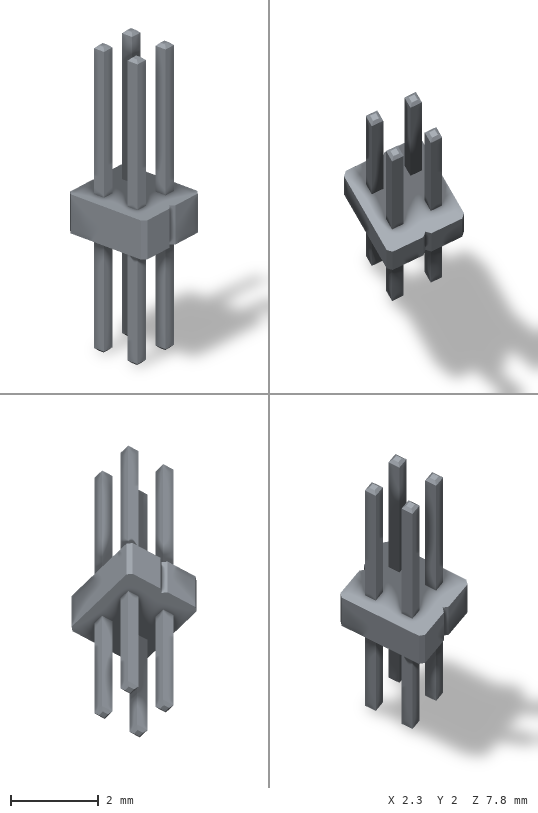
import cadquery as cq

pitch = 1.0
body_x = 2.3
body_y = 2 * pitch
body_height = pitch
corner_cut = 0.1
pin_width = 0.3
pin_length = 7.8
tail_length = 3.0
tip_cut = pin_width / 4


def make_body():
    """Two equal rows of housing, each with its vertical corners cut at 45 degrees.

    Neighbouring corner cuts form the V-notches between the rows.
    """
    right = body_x / 2
    back = body_y / 2
    quarter = [
        (right - corner_cut, 0),
        (right, corner_cut),
        (right, back - corner_cut),
        (right - corner_cut, back),
    ]
    back_half = quarter + [(-x, y) for x, y in reversed(quarter)]
    front_half = [(x, -y) for x, y in reversed(back_half[1:-1])]
    return cq.Workplane("XY").polyline(back_half + front_half).close().extrude(body_height)


def make_pin(x, y):
    """Square pin with a pyramidal taper at both ends."""
    bottom = -tail_length
    pin = (
        cq.Workplane("XY", origin=(x, y, bottom))
        .rect(pin_width, pin_width)
        .extrude(pin_length)
    )
    return pin.faces("<Z or >Z").chamfer(tip_cut)


result = make_body()
for x_side in (-1, 1):
    for y_side in (-1, 1):
        result = result.union(make_pin(x_side * pitch / 2, y_side * pitch / 2))